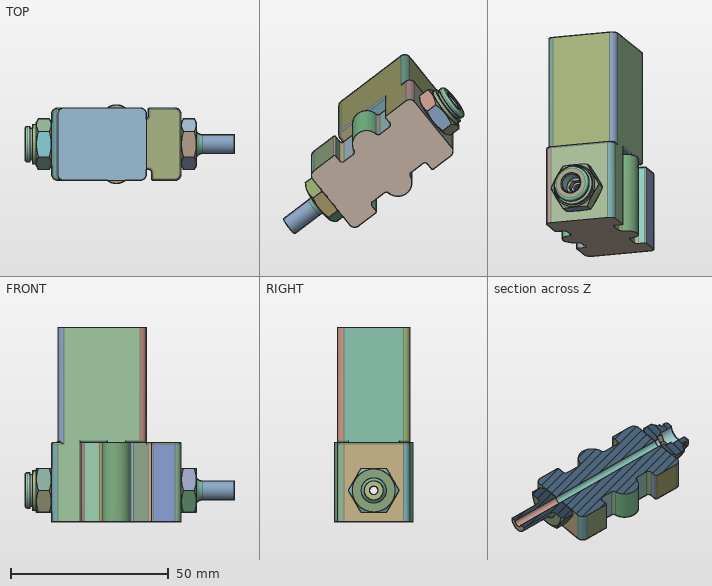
import cadquery as cq
import math

base_length = 41.1
base_width = 23.0
base_height = 25.2
total_height = 61.7
corner_radius = 2.0
edge_round = 0.5

box_left = -18.55
box_right = 9.55
box_length = box_right - box_left
box_middle = (box_left + box_right) / 2

recess_floor = 8.0
front_recess_length = 22.3
rear_recess_length = 20.2
recess_corner_radius = 1.0

boss_radius = 4.5
boss_fillet = 1.0

port_height = 10.0
port_diameter = 2.6
hex_sides = 6
across_corners = 1 / math.cos(math.pi / hex_sides)
hex_flats = 14.0
hex_corners = hex_flats * across_corners
hex_length = 4.9
hex_face_diameter = 13.6
hex_chamfer_angle = 30.0

collar_diameter = 12.6
collar_length = 1.1
groove_diameter = 10.21
groove_length = 0.9
ring_diameter = 11.34
ring_length = 1.5
ring_round = 0.8
socket_diameter = 6.0
socket_depth = 5.0
socket_chamfer = 0.35
key_flats = 4.0
key_depth = 2.0

tube_diameter = 6.0
tube_end = 16.9
flare_diameter = 8.0
flare_length = 1.9


def recess(side, length, height):
    """Side recess on the side (-1 or +1) of the centre plane, with rounded inner corners."""
    depth = base_width / 2 - recess_floor
    slab_depth = 2 * depth
    slab = cq.Workplane("XY").box(length, slab_depth, height, centered=(True, True, False))
    slab = slab.translate((0, side * (recess_floor + slab_depth / 2), 0))
    inner_edges = "|Z and <Y" if side > 0 else "|Z and >Y"
    return slab.edges(inner_edges).fillet(recess_corner_radius)


def recess_mouth_edges(side, length, height):
    """Selector for the two upright edges at the mouth of a recess."""
    reach = edge_round / 2
    y = side * base_width / 2
    left, right = [
        cq.selectors.BoxSelector((x - reach, y - reach, 0), (x + reach, y + reach, height))
        for x in (-length / 2, length / 2)
    ]
    return left + right


def make_base(height):
    """Block of the given height with rounded corners and a recess in each side."""
    block = cq.Workplane("XY").box(base_length, base_width, height, centered=(True, True, False))
    block = block.edges("|Z").fillet(corner_radius)
    for side, length in ((-1, front_recess_length), (1, rear_recess_length)):
        block = block.cut(recess(side, length, height))
        mouth_edges = cq.selectors.ParallelDirSelector(cq.Vector(0, 0, 1))
        mouth_edges = mouth_edges & recess_mouth_edges(side, length, height)
        block = block.edges(mouth_edges).fillet(edge_round)
    return block


def make_box(bottom, top):
    """Coil box with rounded upright edges between two heights."""
    return (
        cq.Workplane("XY", origin=(box_middle, 0, bottom))
        .rect(box_length, base_width)
        .extrude(top - bottom)
        .edges("|Z")
        .fillet(corner_radius)
    )


def make_boss(side, height):
    """Half-round boss blended into the recess floor by a fillet on each flank."""
    blend_x = math.sqrt((boss_radius + boss_fillet) ** 2 - boss_fillet ** 2)
    ratio = boss_radius / (boss_radius + boss_fillet)
    touch_x = blend_x * ratio
    touch_y = recess_floor + boss_fillet * ratio
    half_turn = math.atan2(blend_x, boss_fillet) / 2
    mid_x = blend_x - boss_fillet * math.sin(half_turn)
    mid_y = recess_floor + boss_fillet - boss_fillet * math.cos(half_turn)
    root = recess_floor - boss_fillet
    outline = (
        cq.Workplane("XY")
        .moveTo(-blend_x, root)
        .lineTo(-blend_x, recess_floor)
        .threePointArc((-mid_x, mid_y), (-touch_x, touch_y))
        .threePointArc((0, recess_floor + boss_radius), (touch_x, touch_y))
        .threePointArc((mid_x, mid_y), (blend_x, recess_floor))
        .lineTo(blend_x, root)
        .close()
    )
    boss = outline.extrude(height)
    return boss if side > 0 else boss.mirror("XZ")


def make_foot_fillet():
    """Concave fillet around the two left corners of the box, kept to the flat part of the base top."""
    foot_top = base_height + edge_round
    plate_bottom = base_height - edge_round
    plate = cq.Workplane("XY", origin=(box_middle, 0, plate_bottom))
    plate = plate.rect(2 * box_length, 2 * base_width).extrude(base_height - plate_bottom)
    flared_box = plate.union(make_box(base_height, total_height))
    foot_edges = cq.selectors.BoxSelector(
        (box_left - edge_round, -base_width / 2 - edge_round, base_height - edge_round / 2),
        (box_right + edge_round, base_width / 2 + edge_round, base_height + edge_round / 2),
    )
    flared_box = flared_box.edges(foot_edges).fillet(edge_round)

    flat_left = edge_round - base_length / 2
    flat_right = box_left + corner_radius
    flat_top = (
        cq.Workplane("XY", origin=((flat_left + flat_right) / 2, 0, base_height))
        .rect(flat_right - flat_left, base_width - 2 * edge_round)
        .extrude(foot_top - base_height)
        .edges("|Z and <X")
        .fillet(corner_radius - edge_round)
    )
    return flared_box.intersect(flat_top)


def make_housing():
    """Base, bosses and box in one piece, with the port bored through along X."""
    foot_bottom = base_height - edge_round
    foot_top = base_height + edge_round
    footprint = make_base(foot_top)
    body = make_base(base_height).faces(">Z").edges().fillet(edge_round)
    for side in (-1, 1):
        footprint = footprint.union(make_boss(side, foot_top))
        body = body.union(make_boss(side, base_height))

    box = make_box(base_height, total_height).faces("<Z").edges().fillet(edge_round)
    core = make_box(foot_bottom, foot_top).intersect(footprint)
    body = body.union(box).union(core).union(make_foot_fillet())

    port = drill(port_diameter, -base_length / 2, base_length)
    return body.cut(port.translate((0, 0, port_height)))


def drill(diameter, start, length):
    """Round bore along X."""
    return cq.Workplane("YZ", origin=(start, 0, 0)).circle(diameter / 2).extrude(length)


def revolve_about_port(outline):
    """Turn an outline of (x, radius) points, drawn from the port axis, into a solid."""
    return outline.close().revolve(360, (0, 0, 0), (1, 0, 0))


def make_hex():
    """Hexagon with both ends chamfered, running along +X from the end face, flats facing up and down."""
    hexagon = cq.Workplane("YZ").polygon(hex_sides, hex_corners).extrude(hex_length)
    face_radius = hex_face_diameter / 2
    corner_reach = hex_corners / 2
    chamfer = (corner_reach - face_radius) * math.tan(math.radians(hex_chamfer_angle))
    envelope = revolve_about_port(
        cq.Workplane("XY")
        .lineTo(0, face_radius)
        .lineTo(chamfer, corner_reach)
        .lineTo(hex_length - chamfer, corner_reach)
        .lineTo(hex_length, face_radius)
        .lineTo(hex_length, 0)
    )
    return hexagon.intersect(envelope)


def make_inlet():
    """Push-in fitting, modelled pointing along +X: hexagon, collar, groove and rounded end ring."""
    collar_end = hex_length + collar_length
    groove_end = collar_end + groove_length
    tip = groove_end + ring_length
    ring_radius = ring_diameter / 2
    slant = ring_round * (1 - math.sqrt(0.5))
    nose = revolve_about_port(
        cq.Workplane("XY")
        .lineTo(0, collar_diameter / 2)
        .lineTo(collar_end, collar_diameter / 2)
        .lineTo(collar_end, groove_diameter / 2)
        .lineTo(groove_end, groove_diameter / 2)
        .lineTo(groove_end, ring_radius)
        .lineTo(tip - ring_round, ring_radius)
        .threePointArc((tip - slant, ring_radius - slant), (tip, ring_radius - ring_round))
        .lineTo(tip, 0)
    )
    socket_floor = tip - socket_depth
    socket_radius = socket_diameter / 2
    socket = revolve_about_port(
        cq.Workplane("XY")
        .moveTo(socket_floor, 0)
        .lineTo(socket_floor, socket_radius)
        .lineTo(tip - socket_chamfer, socket_radius)
        .lineTo(tip, socket_radius + socket_chamfer)
        .lineTo(tip, 0)
    )
    key_corners = key_flats * across_corners
    key = (
        cq.Workplane("YZ", origin=(socket_floor - key_depth, 0, 0))
        .polygon(hex_sides, key_corners)
        .extrude(key_depth)
    )
    return make_hex().union(nose).cut(socket).cut(key).cut(drill(port_diameter, 0, tip))


def make_outlet():
    """Tube stub pointing along +X: hexagon, then a concave flare running into the tube."""
    flare_end = hex_length + flare_length
    flare_radius = flare_diameter / 2
    tube_radius = tube_diameter / 2
    rise = flare_radius - tube_radius
    arc_radius = (rise ** 2 + flare_length ** 2) / (2 * rise)
    half_sweep = math.asin(flare_length / arc_radius) / 2
    arc_middle = (
        flare_end - arc_radius * math.sin(half_sweep),
        tube_radius + arc_radius * (1 - math.cos(half_sweep)),
    )
    tube = revolve_about_port(
        cq.Workplane("XY")
        .lineTo(0, flare_radius)
        .lineTo(hex_length, flare_radius)
        .threePointArc(arc_middle, (flare_end, tube_radius))
        .lineTo(tube_end, tube_radius)
        .lineTo(tube_end, 0)
    )
    return make_hex().union(tube).cut(drill(port_diameter, 0, tube_end))


housing = make_housing()
inlet = make_inlet().mirror("YZ").translate((-base_length / 2, 0, port_height))
outlet = make_outlet().translate((base_length / 2, 0, port_height))

result = cq.Compound.makeCompound([housing.val(), inlet.val(), outlet.val()])